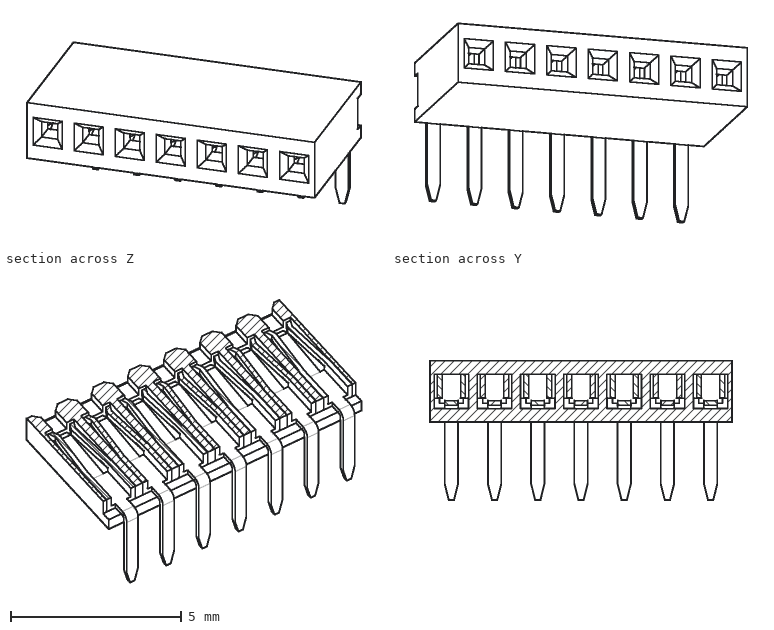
import cadquery as cq
import math


contact_count = 7
housing_length = 8.89
housing_depth = 4.4
housing_height = 1.805
pitch = housing_length / contact_count
axis_z = housing_height / 2

bore_side = 0.5
funnel_side = 0.9
funnel_depth = (funnel_side - bore_side) / 2
entry_depth = 0.8
cavity_side = 1.005
recess_depth = 0.3
recess_wall_y = housing_depth - recess_depth

sheet = 0.16
pin_width = 0.4
pin_drop = 2.29
pin_overhang = 0.3
bend_radius = 0.25
tip_width = 0.16
tip_length = 0.48
pin_back_y = housing_depth + pin_overhang

channel_length = 1.245
channel_front_y = recess_wall_y - channel_length
channel_inner = cavity_side / 2 - sheet
arm_width = 0.39
pinch_offset = pin_width / 2
lead_in_offset = 0.29
lead_in_angle = 22.5
lead_in_length = (lead_in_offset - pinch_offset) / math.tan(math.radians(lead_in_angle))
arm_front_y = entry_depth + 0.09
pinch_y = arm_front_y + lead_in_length


def box_between(low, high):
    """Box spanned by two opposite corners."""
    size = [b - a for a, b in zip(low, high)]
    return cq.Workplane("XY").box(*size, centered=False).translate(low)


def square_prism(side, front_y, back_y):
    """Square prism around the socket axis at X = 0."""
    half = side / 2
    return box_between((-half, front_y, axis_z - half), (half, back_y, axis_z + half))


def make_socket_cutter():
    """Funnel, entry bore and contact cavity of one socket, at X = 0."""
    funnel = (
        cq.Workplane("XZ", origin=(0, 0, axis_z))
        .rect(funnel_side, funnel_side)
        .workplane(offset=-funnel_depth)
        .rect(bore_side, bore_side)
        .loft(ruled=True)
    )
    bore = square_prism(bore_side, funnel_depth, entry_depth)
    cavity = square_prism(cavity_side, entry_depth, housing_depth)
    return funnel.union(bore).union(cavity)


def make_housing(positions):
    half_length = housing_length / 2
    body = box_between((-half_length, 0, 0), (half_length, housing_depth, housing_height))
    recess = box_between(
        (-half_length, recess_wall_y, axis_z - cavity_side / 2),
        (half_length, housing_depth, axis_z + cavity_side / 2),
    )
    body = body.cut(recess)
    cutter = make_socket_cutter()
    for x in positions:
        body = body.cut(cutter.translate((x, 0, 0)))
    return body


def make_pin():
    """Tail along the recess floor, bent down into a pin with a tapered tip."""
    floor_z = axis_z - cavity_side / 2
    top_z = floor_z + sheet
    inner_radius = bend_radius - sheet
    bend_y = pin_back_y - bend_radius
    bend_z = top_z - bend_radius
    diagonal = math.sqrt(0.5)
    strip = (
        cq.Workplane("YZ")
        .moveTo(recess_wall_y, top_z)
        .lineTo(bend_y, top_z)
        .threePointArc(
            (bend_y + bend_radius * diagonal, bend_z + bend_radius * diagonal),
            (pin_back_y, bend_z),
        )
        .lineTo(pin_back_y, -pin_drop)
        .lineTo(pin_back_y - sheet, -pin_drop)
        .lineTo(pin_back_y - sheet, bend_z)
        .threePointArc(
            (bend_y + inner_radius * diagonal, bend_z + inner_radius * diagonal),
            (bend_y, floor_z),
        )
        .lineTo(recess_wall_y, floor_z)
        .close()
        .extrude(pin_width / 2, both=True)
    )
    front_outline = (
        cq.Workplane("XZ", origin=(0, recess_wall_y, 0))
        .moveTo(-pin_width / 2, top_z)
        .lineTo(-pin_width / 2, tip_length - pin_drop)
        .lineTo(-tip_width / 2, -pin_drop)
        .lineTo(tip_width / 2, -pin_drop)
        .lineTo(pin_width / 2, tip_length - pin_drop)
        .lineTo(pin_width / 2, top_z)
        .close()
        .extrude(recess_wall_y - pin_back_y)
    )
    return strip.intersect(front_outline)


def make_channel():
    """U-shaped rear part: a floor and two side walls lining the cavity."""
    outer = square_prism(cavity_side, channel_front_y, recess_wall_y)
    opening = box_between(
        (-channel_inner, channel_front_y, axis_z - channel_inner),
        (channel_inner, recess_wall_y, axis_z + cavity_side / 2),
    )
    return outer.cut(opening)


def arm_profile():
    """Arm bent towards the axis and flared at its front end, as (offset, Y) points."""
    inner = [
        (channel_inner, channel_front_y),
        (pinch_offset, pinch_y),
        (lead_in_offset, arm_front_y),
    ]
    outer = [(offset + sheet, y) for offset, y in reversed(inner)]
    return inner + outer


def make_floor_arm():
    points = [(y, axis_z - offset) for offset, y in arm_profile()]
    return cq.Workplane("YZ").polyline(points).close().extrude(arm_width / 2, both=True)


def make_side_arm(side):
    """Arm on the -X (side = -1) or +X (side = 1) wall, reaching up to the wall's top."""
    points = [(side * offset, y) for offset, y in arm_profile()]
    below_axis = arm_width / 2
    arm = cq.Workplane("XY").polyline(points).close().extrude(below_axis + cavity_side / 2)
    return arm.translate((0, 0, axis_z - below_axis))


def make_contact():
    contact = make_channel().union(make_pin()).union(make_floor_arm())
    for side in (-1, 1):
        contact = contact.union(make_side_arm(side))
    return contact


positions = [(i - (contact_count - 1) / 2) * pitch for i in range(contact_count)]
housing = make_housing(positions).solids()
contact = make_contact().solids()
contacts = [contact.translate((x, 0, 0)) for x in positions]

result = cq.Compound.makeCompound([housing.val(), *[c.val() for c in contacts]])